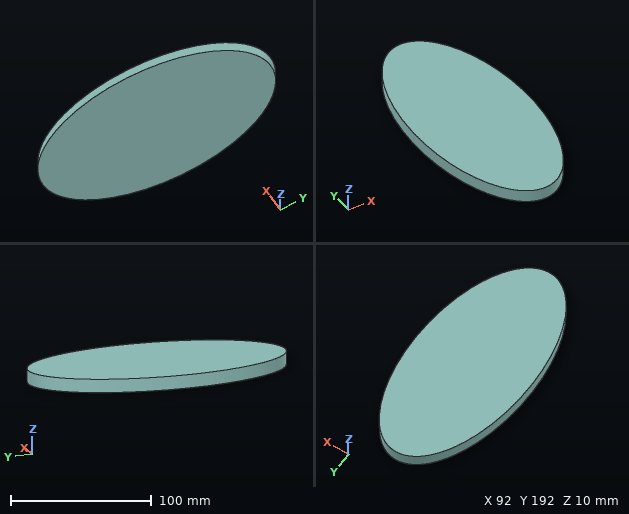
import cadquery as cq

length = 192.0
width = 92.0
thickness = 10.0

result = cq.Workplane("XY").ellipse(width / 2, length / 2).extrude(thickness)